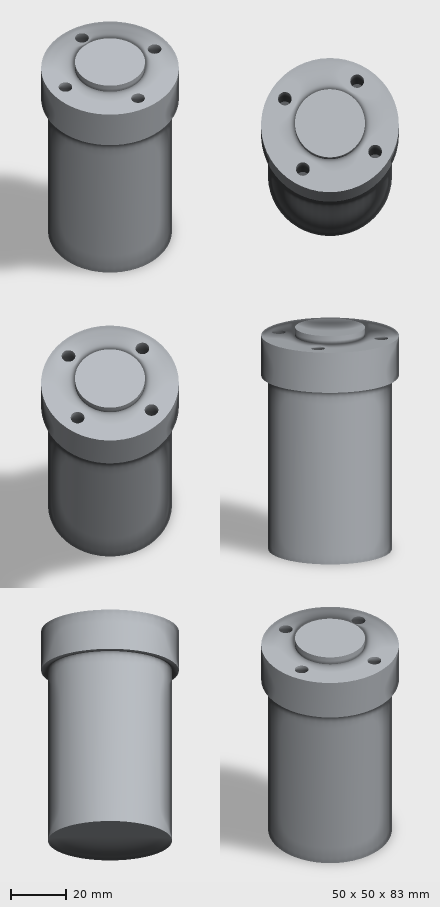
import cadquery as cq

total_height = 83.0
boss_height = 3.0
flange_height = 15.0
body_height = total_height - flange_height - boss_height
flange_top = body_height + flange_height

flange_diameter = 50.0
body_diameter = 45.0
boss_diameter = 25.4

hole_count = 4
hole_diameter = 5.0
hole_circle_radius = 19.1
hole_depth = flange_height


def cylinder(diameter, height, base_z):
    """Upright cylinder on the Z axis, standing on base_z."""
    return cq.Workplane("XY").workplane(offset=base_z).circle(diameter / 2).extrude(height)


def mounting_holes():
    """Ring of hole cutters, sunk from the flange face."""
    return (
        cq.Workplane("XY")
        .workplane(offset=flange_top)
        .polarArray(hole_circle_radius, 0, 360, hole_count)
        .circle(hole_diameter / 2)
        .extrude(-hole_depth)
    )


body = cylinder(body_diameter, body_height, 0)
flange = cylinder(flange_diameter, flange_height, body_height)
boss = cylinder(boss_diameter, boss_height, flange_top)

result = body.union(flange).union(boss).cut(mounting_holes())